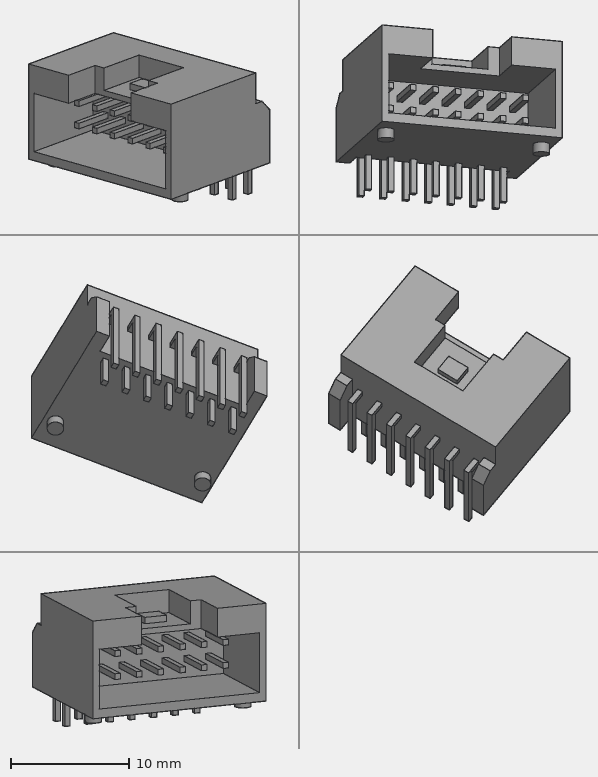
import cadquery as cq


body_width = 16.0
body_depth = 10.9
body_height = 8.5

cheek_width = 1.2
cheek_end = 12.7
cheek_height = 5.75
cheek_chamfer = 1.0

side_wall = 0.6
floor_thickness = 0.8
cavity_top = 6.0
cavity_depth = 7.6

key_width = 7.0
key_depth = 3.4
latch_width = 5.0
latch_end = 7.9
latch_floor = 6.5

block_width = 2.0
block_front = 5.0
block_length = 1.6
block_height = 0.55

columns = 7
rows = 2
pitch = 2.0
pin_size = 0.5
pin_tip = 3.9
tail_length = 3.0
lower_pin_height = 2.45
front_tail_place = 10.12

peg_diameter = 1.4
peg_length = 0.85
peg_spacing = 13.8
peg_place = 2.4


def block(width, y_range, z_range, x_center=0.0):
    """Box centred on x_center, spanning the given Y and Z ranges."""
    y_start, y_end = y_range
    z_start, z_end = z_range
    box = cq.Workplane("XY").box(width, y_end - y_start, z_end - z_start, centered=(True, False, False))
    return box.translate((x_center, y_start, z_start))


def make_cheek(side):
    x_center = side * (body_width - cheek_width) / 2
    cheek = block(cheek_width, (body_depth, cheek_end), (0, cheek_height), x_center)
    return cheek.faces(">Y").edges(">Z").chamfer(cheek_chamfer)


def make_housing():
    housing = block(body_width, (0, body_depth), (0, body_height))
    cavity_width = body_width - 2 * side_wall
    housing = housing.cut(block(cavity_width, (0, cavity_depth), (floor_thickness, cavity_top)))
    housing = housing.cut(block(key_width, (0, key_depth), (floor_thickness, body_height)))
    housing = housing.cut(block(latch_width, (0, latch_end), (latch_floor, body_height)))
    latch_block_y = (block_front, block_front + block_length)
    housing = housing.union(block(block_width, latch_block_y, (latch_floor, latch_floor + block_height)))
    for side in (-1, 1):
        housing = housing.union(make_cheek(side))
    return housing


def make_pin(x_center, row):
    """Pin with a horizontal contact and a vertical tail; higher rows have tails farther back."""
    contact_height = lower_pin_height + row * pitch
    tail_place = front_tail_place + row * pitch
    half = pin_size / 2
    contact_z = (contact_height - half, contact_height + half)
    contact = block(pin_size, (pin_tip, tail_place + half), contact_z, x_center)
    tail_y = (tail_place - half, tail_place + half)
    tail = block(pin_size, tail_y, (-tail_length, contact_height + half), x_center)
    return contact.union(tail)


def make_peg(side):
    peg_center = (side * peg_spacing / 2, peg_place)
    return cq.Workplane("XY").center(*peg_center).circle(peg_diameter / 2).extrude(-peg_length)


result = make_housing()
for column in range(columns):
    column_x = (column - (columns - 1) / 2) * pitch
    for row in range(rows):
        result = result.union(make_pin(column_x, row))
for side in (-1, 1):
    result = result.union(make_peg(side))